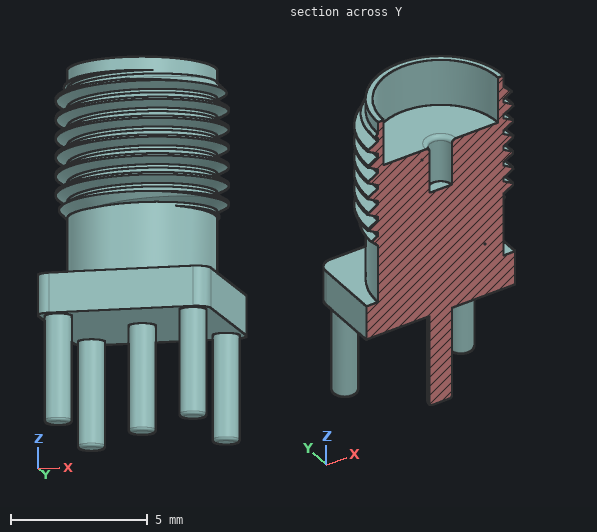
import cadquery as cq
import math

HEIGHT = 13.5
PIN_LENGTH = 4.0
FLANGE_THICKNESS = 1.5
PLAIN_BARREL_LENGTH = 2.5
TOP_COLLAR_LENGTH = 0.5

FLANGE_BOTTOM = PIN_LENGTH
FLANGE_TOP = FLANGE_BOTTOM + FLANGE_THICKNESS
THREAD_BOTTOM = FLANGE_TOP + PLAIN_BARREL_LENGTH
THREAD_TOP = HEIGHT - TOP_COLLAR_LENGTH

FLANGE_SIDE = 6.51
FLANGE_CORNER_RADIUS = 0.54

BARREL_RADIUS = 2.75
SOCKET_RADIUS = 2.5
SOCKET_DEPTH = 2.0
SOCKET_FLOOR = HEIGHT - SOCKET_DEPTH

CONTACT_HOLE_RADIUS = 0.47
CONTACT_HOLE_DEPTH = 2.0
CONTACT_MOUTH_FILLET = 0.19

THREAD_RADIUS = 3.17
THREAD_PITCH = 0.7
CREST_WIDTH = THREAD_PITCH / 8
FLANK_ANGLE = math.radians(30)
CREST_HEIGHT_AT_X = 12.02
TURNS_BELOW = 7
TURNS_ABOVE = 3
RIDGE_OVERLAP = 0.05
TRIM_MARGIN = 0.14

PIN_RADIUS = 0.5
PIN_OFFSET = 2.54
PIN_TIP_FILLET = 0.12


def make_flange():
    """Square base plate with rounded vertical corners."""
    plate = cq.Workplane("XY", origin=(0, 0, FLANGE_BOTTOM)).rect(FLANGE_SIDE, FLANGE_SIDE)
    return plate.extrude(FLANGE_THICKNESS).edges("|Z").fillet(FLANGE_CORNER_RADIUS)


def make_barrel():
    """Plain round barrel standing on the flange."""
    return cq.Workplane("XY", origin=(0, 0, FLANGE_TOP)).circle(BARREL_RADIUS).extrude(HEIGHT - FLANGE_TOP)


def make_pins():
    """Five round pins with rounded tips."""
    corners = [(x, y) for x in (-PIN_OFFSET, PIN_OFFSET) for y in (-PIN_OFFSET, PIN_OFFSET)]
    pins = cq.Workplane("XY").pushPoints([(0, 0)] + corners).circle(PIN_RADIUS).extrude(PIN_LENGTH)
    return pins.faces("<Z").edges().fillet(PIN_TIP_FILLET)


def make_ridge():
    """Helical ridge, longer than the threaded stretch at both ends."""
    start_height = CREST_HEIGHT_AT_X - TURNS_BELOW * THREAD_PITCH
    helix_height = (TURNS_BELOW + TURNS_ABOVE) * THREAD_PITCH
    helix = cq.Wire.makeHelix(THREAD_PITCH, helix_height, BARREL_RADIUS, cq.Vector(0, 0, start_height))

    root_radius = BARREL_RADIUS - RIDGE_OVERLAP
    half_crest = CREST_WIDTH / 2
    half_root = half_crest + (THREAD_RADIUS - root_radius) * math.tan(FLANK_ANGLE)
    profile = [
        (root_radius, -half_root),
        (THREAD_RADIUS, -half_crest),
        (THREAD_RADIUS, half_crest),
        (root_radius, half_root),
    ]
    section = cq.Workplane("XZ", origin=(0, 0, start_height)).polyline(profile).close()
    return section.sweep(cq.Workplane(helix), isFrenet=True)


def make_thread():
    """Ridge trimmed to a core whose ends slope at 45 degrees, starting from the barrel."""
    core_radius = THREAD_RADIUS + TRIM_MARGIN
    core_inset = core_radius - BARREL_RADIUS
    outline = [
        (0, THREAD_BOTTOM),
        (BARREL_RADIUS, THREAD_BOTTOM),
        (core_radius, THREAD_BOTTOM + core_inset),
        (core_radius, THREAD_TOP - core_inset),
        (BARREL_RADIUS, THREAD_TOP),
        (0, THREAD_TOP),
    ]
    core = cq.Workplane("XZ").polyline(outline).close().revolve(360, (0, 0, 0), (0, 1, 0))
    return core.intersect(make_ridge())


def make_socket():
    """Revolved cutter: the wide bore and the contact hole with its rounded mouth."""
    mouth_radius = CONTACT_HOLE_RADIUS + CONTACT_MOUTH_FILLET
    return (
        cq.Workplane("XZ")
        .moveTo(0, HEIGHT)
        .lineTo(SOCKET_RADIUS, HEIGHT)
        .lineTo(SOCKET_RADIUS, SOCKET_FLOOR)
        .lineTo(mouth_radius, SOCKET_FLOOR)
        .radiusArc((CONTACT_HOLE_RADIUS, SOCKET_FLOOR - CONTACT_MOUTH_FILLET), -CONTACT_MOUTH_FILLET)
        .lineTo(CONTACT_HOLE_RADIUS, SOCKET_FLOOR - CONTACT_HOLE_DEPTH)
        .lineTo(0, SOCKET_FLOOR - CONTACT_HOLE_DEPTH)
        .close()
        .revolve(360, (0, 0, 0), (0, 1, 0))
    )


body = make_flange().union(make_barrel()).union(make_pins())
result = body.union(make_thread()).cut(make_socket()).solids()